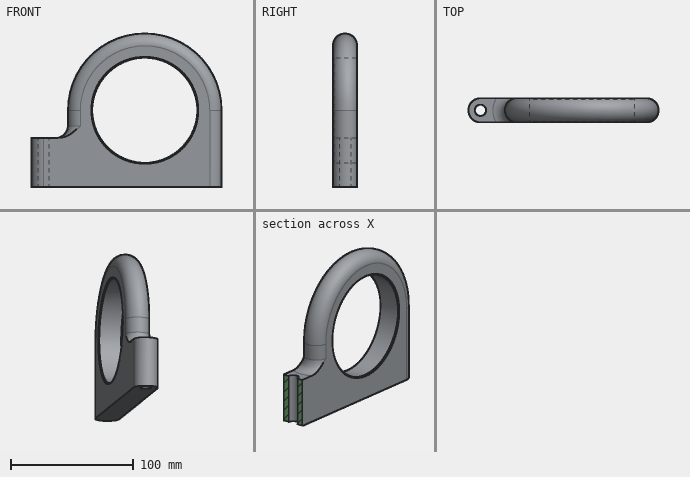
import cadquery as cq

length = 156.0
thickness = 20.0
ring_radius = 63.0
base_height = 40.4
bore_diameter = 86.0
bore_chamfer = 1.0
pin_hole_diameter = 9.0
fillet_radius = 10.0

edge_radius = thickness / 2
core_radius = ring_radius - edge_radius
base_bottom = -ring_radius
base_top = base_bottom + base_height
base_left = ring_radius - length
pin_hole_x = base_left + edge_radius
bore_radius = bore_diameter / 2


def rounded_slab(left, right, bottom, top):
    """Upright slab whose two X ends are full rounds."""
    return (
        cq.Workplane("XY", origin=((left + right) / 2, 0, bottom))
        .slot2D(right - left, thickness)
        .extrude(top - bottom)
    )


def ring_top():
    """Half disc with a full-round rim, spun about the Y axis."""
    return (
        cq.Workplane("XY")
        .moveTo(0, -edge_radius)
        .lineTo(core_radius, -edge_radius)
        .threePointArc((ring_radius, 0), (core_radius, edge_radius))
        .lineTo(0, edge_radius)
        .close()
        .revolve(180, (0, 0, 0), (0, -1, 0))
    )


def shoulder_fillet():
    """Concave collar around the rounded column edge, trimmed to the plate thickness."""
    outer_radius = edge_radius + fillet_radius
    diagonal = fillet_radius * 0.5 ** 0.5
    fillet_top = base_top + fillet_radius
    collar = (
        cq.Workplane("XZ", origin=(-core_radius, 0, 0))
        .moveTo(0, base_top)
        .lineTo(outer_radius, base_top)
        .threePointArc(
            (outer_radius - diagonal, fillet_top - diagonal),
            (edge_radius, fillet_top),
        )
        .lineTo(0, fillet_top)
        .close()
        .revolve(360, (0, 0, 0), (0, 1, 0))
    )
    plate_space = cq.Workplane("XY").box(2 * length, thickness, 2 * length)
    return collar.intersect(plate_space)


def chamfered_bore():
    """Cutter for the through bore with a chamfer at both faces."""
    mouth_radius = bore_radius + bore_chamfer
    chamfer_depth = edge_radius - bore_chamfer
    return (
        cq.Workplane("XY")
        .moveTo(0, -edge_radius)
        .lineTo(mouth_radius, -edge_radius)
        .lineTo(bore_radius, -chamfer_depth)
        .lineTo(bore_radius, chamfer_depth)
        .lineTo(mouth_radius, edge_radius)
        .lineTo(0, edge_radius)
        .close()
        .revolve(360, (0, 0, 0), (0, 1, 0))
    )


base = rounded_slab(base_left, ring_radius, base_bottom, base_top)
column = rounded_slab(-ring_radius, ring_radius, base_bottom, 0)
pin_hole = (
    cq.Workplane("XY", origin=(pin_hole_x, 0, base_bottom))
    .circle(pin_hole_diameter / 2)
    .extrude(base_height)
)

body = base.union(column).union(ring_top()).union(shoulder_fillet())
result = body.cut(chamfered_bore()).cut(pin_hole)